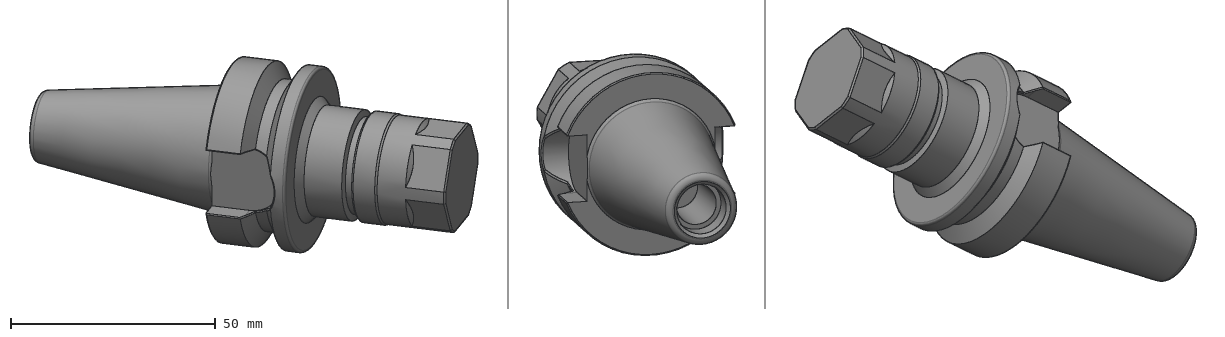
import cadquery as cq
import math

LENGTH = 108.4

TAPER_RATIO = 7 / 24
GAUGE_DIAMETER = 31.8
GAUGE_X = 48.5
TAPER_TIP_ROUND = 1.6
TAPER_ROOT_DIAMETER = 33.0

FLANGE_DIAMETER = 46.0
FLANGE_START_X = 49.4
FLANGE_END_X = 70.4
FLANGE_FRONT_CHAMFER = 0.3
FLANGE_BACK_ROUND = 0.7
GROOVE_DIAMETER = 37.7
GROOVE_TOP_START_X = 58.3
GROOVE_TOP_END_X = 66.5
GROOVE_FLOOR_START_X = 60.8
GROOVE_FLOOR_END_X = 63.8

NECK_DIAMETER = 27.5
NECK_START_X = 72.3
NECK_CONE_DIAMETER = 31.3
RELIEF_DIAMETER = 24.2
RELIEF_START_X = 82.0
RELIEF_WALL_RUN = 0.4

NUT_START_X = 84.3
NUT_CHAMFER = 0.5
NUT_COLLAR_END_X = 90.4
NUT_STEP_RUN = 0.5
NUT_DIAMETER = 27.0
NUT_END_CHAMFER = 0.4
WRENCH_FLATS = 6
WRENCH_WIDTH = 24.8
WRENCH_START_X = 98.2

SLOT_WIDTH = 16.7
SLOT_END_X = 67.4
SLOT_FLOOR_Y = 16.2
SLOT_EDGE_CHAMFER = 0.3

BORE_MOUTH_DIAMETER = 14.2
BORE_DIAMETER = 12.5
BORE_MOUTH_DEPTH = 0.9
BORE_DEPTH = 5.9
THREAD_HOLE_DIAMETER = 10.1
THREAD_HOLE_DEPTH = 23.8


def taper_radius(x):
    """Radius of the steep taper at a position along the axis."""
    return (GAUGE_DIAMETER - TAPER_RATIO * (GAUGE_X - x)) / 2


def round_point(center_radius, angle):
    """Point on the tip round, at an angle measured from the radial direction towards the tip."""
    return (
        TAPER_TIP_ROUND * (1 - math.sin(angle)),
        center_radius + TAPER_TIP_ROUND * math.cos(angle),
    )


def revolve_about_axis(profile):
    """Turn a closed (x, radius) outline about the X axis."""
    return profile.close().revolve(360, (0, 0, 0), (1, 0, 0))


def turned_body():
    taper_angle = math.atan(TAPER_RATIO / 2)
    round_center_radius = taper_radius(TAPER_TIP_ROUND) - TAPER_TIP_ROUND / math.cos(taper_angle)
    round_end = round_point(round_center_radius, taper_angle)
    round_middle = round_point(round_center_radius, (taper_angle + math.pi / 2) / 2)
    flange_radius = FLANGE_DIAMETER / 2
    groove_radius = GROOVE_DIAMETER / 2
    neck_radius = NECK_DIAMETER / 2
    relief_radius = RELIEF_DIAMETER / 2
    nut_radius = NUT_DIAMETER / 2
    profile = (
        cq.Workplane("XY")
        .moveTo(0, 0)
        .lineTo(0, round_center_radius)
        .threePointArc(round_middle, round_end)
        .lineTo(GAUGE_X, GAUGE_DIAMETER / 2)
        .tangentArcPoint((FLANGE_START_X, TAPER_ROOT_DIAMETER / 2), relative=False)
        .lineTo(FLANGE_START_X, flange_radius - FLANGE_FRONT_CHAMFER)
        .lineTo(FLANGE_START_X + FLANGE_FRONT_CHAMFER, flange_radius)
        .lineTo(GROOVE_TOP_START_X, flange_radius)
        .lineTo(GROOVE_FLOOR_START_X, groove_radius)
        .lineTo(GROOVE_FLOOR_END_X, groove_radius)
        .lineTo(GROOVE_TOP_END_X, flange_radius)
        .lineTo(FLANGE_END_X - FLANGE_BACK_ROUND, flange_radius)
        .tangentArcPoint((FLANGE_END_X, flange_radius - FLANGE_BACK_ROUND), relative=False)
        .lineTo(FLANGE_END_X, NECK_CONE_DIAMETER / 2)
        .lineTo(NECK_START_X, neck_radius)
        .lineTo(RELIEF_START_X, neck_radius)
        .lineTo(RELIEF_START_X + RELIEF_WALL_RUN, relief_radius)
        .lineTo(NUT_START_X, relief_radius)
        .lineTo(NUT_START_X, neck_radius - NUT_CHAMFER)
        .lineTo(NUT_START_X + NUT_CHAMFER, neck_radius)
        .lineTo(NUT_COLLAR_END_X, neck_radius)
        .lineTo(NUT_COLLAR_END_X + NUT_STEP_RUN, nut_radius)
        .lineTo(LENGTH, nut_radius)
        .lineTo(LENGTH, 0)
    )
    return revolve_about_axis(profile)


def wrench_flat_cutter():
    """Material outside the hexagon, with a 45 degree conical run-out towards the collar."""
    nut_radius = NUT_DIAMETER / 2
    inner_radius = nut_radius / 2
    ring = revolve_about_axis(
        cq.Workplane("XY")
        .moveTo(WRENCH_START_X, nut_radius)
        .lineTo(WRENCH_START_X + nut_radius - inner_radius, inner_radius)
        .lineTo(LENGTH, inner_radius)
        .lineTo(LENGTH, nut_radius)
    )
    corner_diameter = WRENCH_WIDTH / math.cos(math.pi / WRENCH_FLATS)
    hexagon = (
        cq.Workplane("YZ", origin=(WRENCH_START_X, 0, 0))
        .polygon(WRENCH_FLATS, corner_diameter)
        .extrude(LENGTH - WRENCH_START_X)
    )
    return ring.cut(hexagon)


def drive_slot(side):
    """Slot with a round end, open towards the taper, on the +Y (1) or -Y (-1) side."""
    half_width = SLOT_WIDTH / 2
    slot_depth = FLANGE_DIAMETER / 2 - SLOT_FLOOR_Y
    arc_center_x = SLOT_END_X - half_width
    outline = (
        cq.Workplane("XZ", origin=(0, side * SLOT_FLOOR_Y, 0))
        .moveTo(GAUGE_X, -half_width)
        .lineTo(arc_center_x, -half_width)
        .threePointArc((SLOT_END_X, 0), (arc_center_x, half_width))
        .lineTo(GAUGE_X, half_width)
        .close()
    )
    return outline.extrude(-side * slot_depth)


def taper_bore():
    profile = (
        cq.Workplane("XY")
        .moveTo(0, 0)
        .lineTo(0, BORE_MOUTH_DIAMETER / 2)
        .lineTo(BORE_MOUTH_DEPTH, BORE_DIAMETER / 2)
        .lineTo(BORE_DEPTH, BORE_DIAMETER / 2)
        .lineTo(BORE_DEPTH, THREAD_HOLE_DIAMETER / 2)
        .lineTo(THREAD_HOLE_DEPTH, THREAD_HOLE_DIAMETER / 2)
        .lineTo(THREAD_HOLE_DEPTH, 0)
    )
    return revolve_about_axis(profile)


def slot_rim(side):
    """Selector for the edges where a slot wall breaks out through the flange."""
    margin = 0.1
    rim_start_x = FLANGE_START_X + FLANGE_FRONT_CHAMFER
    half_width = SLOT_WIDTH / 2 + margin
    inner_corner = (rim_start_x, side * (SLOT_FLOOR_Y + margin), -half_width)
    outer_corner = (SLOT_END_X + margin, side * FLANGE_DIAMETER / 2, half_width)
    return cq.selectors.BoxSelector(inner_corner, outer_corner)


result = turned_body().cut(wrench_flat_cutter())
result = result.faces(">X").edges().chamfer(NUT_END_CHAMFER)
result = result.cut(taper_bore())
for slot_side in (1, -1):
    result = result.cut(drive_slot(slot_side))
    result = result.edges(slot_rim(slot_side)).chamfer(SLOT_EDGE_CHAMFER)